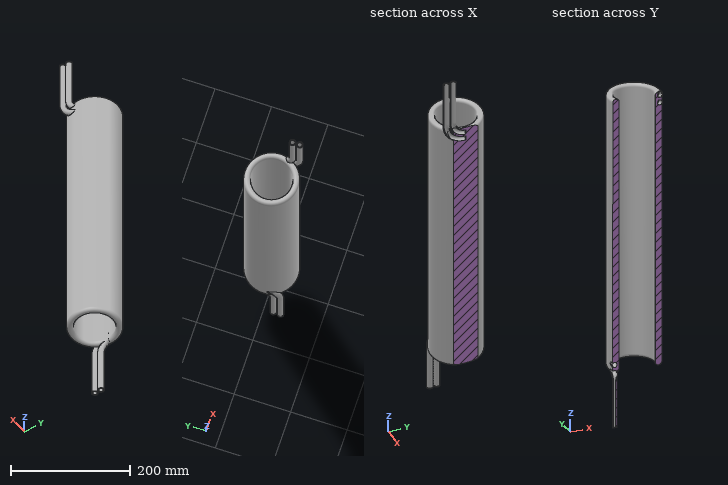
import cadquery as cq

total_height = 704
outer_diameter = 95.0
inner_diameter = 71.0
lead_length = 88.0
pipe_bore = 8.0

wall = (outer_diameter - inner_diameter) / 2
rim_radius = wall / 2
lead_x = outer_diameter / 2 - rim_radius
pipe_diameter = 11.0
sleeve_bottom = 101.0
sleeve_top = total_height - sleeve_bottom

pipe_pitch = 13.0
lower_inner_bend_radius = sleeve_bottom + rim_radius - lead_length
lower_inner_pipe_y = -17.0
upper_inner_bend_radius = 23.0
upper_inner_pipe_y = -23.0


def make_sleeve():
    """Tube with half-round rims, revolved about Z."""
    rim_low = sleeve_bottom + rim_radius
    rim_high = sleeve_top - rim_radius
    inside = inner_diameter / 2
    outside = outer_diameter / 2
    return (
        cq.Workplane("XZ")
        .moveTo(inside, rim_low)
        .threePointArc((lead_x, sleeve_bottom), (outside, rim_low))
        .lineTo(outside, rim_high)
        .threePointArc((lead_x, sleeve_top), (inside, rim_high))
        .close()
        .revolve(360, (0, 0, 0), (0, 1, 0))
    )


def bent_rod(x, y, bend_radius, diameter):
    """Rod rising from Z = 0, then bending a quarter turn toward +Y."""
    straight = cq.Workplane("XY").center(x, y).circle(diameter / 2).extrude(lead_length)
    bend = (
        cq.Workplane("XY", origin=(x, y, lead_length))
        .circle(diameter / 2)
        .revolve(90, (0, bend_radius, 0), (-1, bend_radius, 0))
    )
    return straight.union(bend)


def pipe_pair(x, inner_y, inner_bend_radius, diameter):
    """Two side-by-side rods with concentric bends."""
    inner = bent_rod(x, inner_y, inner_bend_radius, diameter)
    outer = bent_rod(x, inner_y - pipe_pitch, inner_bend_radius + pipe_pitch, diameter)
    return inner.union(outer)


def lower_leads(diameter):
    return pipe_pair(-lead_x, lower_inner_pipe_y, lower_inner_bend_radius, diameter)


def upper_leads(diameter):
    """Pair at +X, turned over so that it hangs down from the full height."""
    pair = pipe_pair(lead_x, upper_inner_pipe_y, upper_inner_bend_radius, diameter)
    return pair.mirror("XY", (0, 0, total_height / 2))


result = make_sleeve()
for leads in (lower_leads, upper_leads):
    result = result.union(leads(pipe_diameter)).cut(leads(pipe_bore))